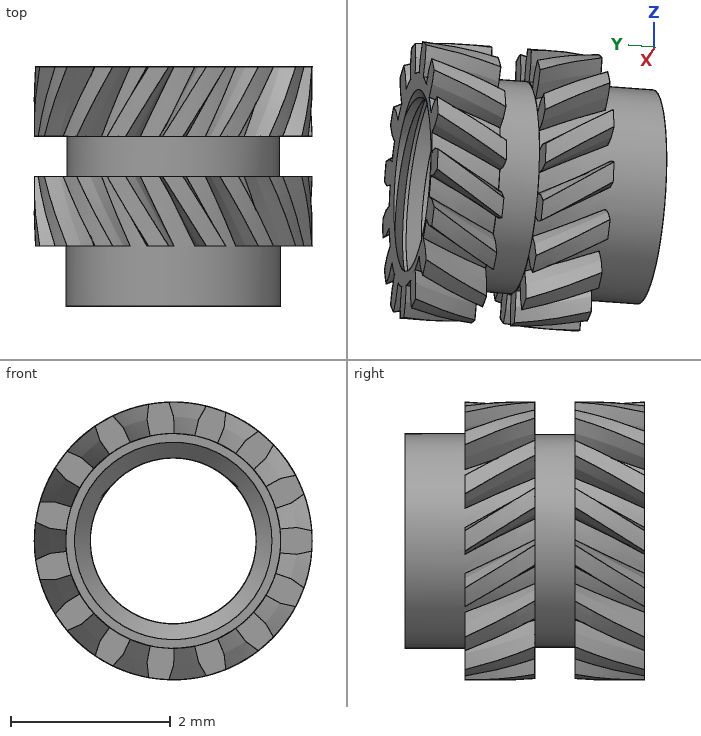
import cadquery as cq
import math


total_length = 3.0
pilot_length = 0.75
groove_width = 0.5
band_length = (total_length - pilot_length - groove_width) / 2
groove_start = pilot_length + band_length
groove_middle = groove_start + groove_width / 2

pilot_diameter = 2.69
groove_diameter = 2.665

tooth_count = 15
tooth_pitch = 360 / tooth_count
tip_radius = 1.74
tip_half_angle = 4.2
shoulder_radius = 1.552
shoulder_half_angle = 6.2
root_radius = pilot_diameter / 2
root_half_angle = 6.4
band_twist = 18.2

bore_diameter = 2.075
lead_in_diameter = 2.47
lead_in_depth = 0.22

thread_pitch = 0.45
thread_root_diameter = 2.58
thread_mouth_width = 0.75 * thread_pitch
flank_slope = math.tan(math.radians(30))
cutter_clearance = 0.035

joint_diameter = (thread_root_diameter + groove_diameter) / 2
size_tolerance = 0.0005


def polar(radius, angle):
    """Point at a radius and an angle in degrees from the X axis."""
    return (radius * math.cos(math.radians(angle)), radius * math.sin(math.radians(angle)))


def cylinder(diameter, start, end):
    return cq.Workplane("XY", origin=(0, 0, start)).circle(diameter / 2).extrude(end - start)


def knurl_band():
    """Lower band: a toothed disc whose teeth twist along its length."""
    profile = cq.Workplane("XY", origin=(0, 0, pilot_length))
    profile = profile.moveTo(*polar(root_radius, -root_half_angle))
    for index in range(tooth_count):
        middle = index * tooth_pitch
        gap_middle = middle + tooth_pitch / 2
        gap_end = middle + tooth_pitch - root_half_angle
        profile = (
            profile.lineTo(*polar(shoulder_radius, middle - shoulder_half_angle))
            .lineTo(*polar(tip_radius, middle - tip_half_angle))
            .threePointArc(polar(tip_radius, middle), polar(tip_radius, middle + tip_half_angle))
            .lineTo(*polar(shoulder_radius, middle + shoulder_half_angle))
            .lineTo(*polar(root_radius, middle + root_half_angle))
            .threePointArc(polar(root_radius, gap_middle), polar(root_radius, gap_end))
        )
    return profile.close().twistExtrude(band_length, -band_twist)


def knurled_shell():
    """Pilot, groove and two mirrored bands, hollowed out to the joint cylinder."""
    lower_band = knurl_band()
    upper_band = lower_band.mirror("XY", (0, 0, groove_middle))
    return (
        cylinder(pilot_diameter, 0, pilot_length)
        .union(lower_band, clean=False)
        .union(cylinder(groove_diameter, groove_start, groove_start + groove_width), clean=False)
        .union(upper_band, clean=False)
        .cut(cylinder(joint_diameter, 0, total_length), clean=False)
    )


def thread_groove():
    """Helical cutter, longer than the insert at both ends."""
    crest_radius = bore_diameter / 2
    groove_bottom = thread_root_diameter / 2
    bottom_half_width = thread_mouth_width / 2 - (groove_bottom - crest_radius) * flank_slope
    cutter_top = crest_radius - cutter_clearance
    top_half_width = thread_mouth_width / 2 + cutter_clearance * flank_slope
    helix_length = total_length + 2 * thread_pitch
    helix = cq.Wire.makeHelix(thread_pitch, helix_length, crest_radius)
    return (
        cq.Workplane("XZ")
        .moveTo(cutter_top, -top_half_width)
        .lineTo(groove_bottom, -bottom_half_width)
        .lineTo(groove_bottom, bottom_half_width)
        .lineTo(cutter_top, top_half_width)
        .close()
        .sweep(cq.Workplane(obj=helix), isFrenet=True)
        .rotate((0, 0, 0), (0, 0, 1), -90)
        .translate((0, 0, -thread_pitch))
    )


def lead_in_ring():
    """Unthreaded start of the sleeve, with the conical lead-in."""
    cone = cq.Solid.makeCone(lead_in_diameter / 2, bore_diameter / 2, lead_in_depth)
    return cylinder(joint_diameter, 0, lead_in_depth).cut(cq.Workplane(obj=cone))


def threaded_sleeve():
    """The thread is cut into a solid core before the bore opens its crests."""
    core = cylinder(joint_diameter, lead_in_depth, total_length)
    bore = cylinder(bore_diameter, 0, total_length + thread_pitch).rotate((0, 0, 0), (0, 0, 1), 135)
    return core.cut(thread_groove()).cut(bore).union(lead_in_ring())


def is_joint_wall(face):
    """True for the cylindrical faces bounded by circles of the joint diameter."""
    circles = [edge for edge in face.Edges() if edge.geomType() == "CIRCLE"]
    on_joint = [abs(circle.radius() - joint_diameter / 2) < size_tolerance for circle in circles]
    return face.geomType() == "CYLINDER" and bool(circles) and all(on_joint)


def join_without_wall(outer, inner):
    """One solid from two that share the joint cylinder, leaving that wall out."""
    faces = outer.faces().vals() + inner.faces().vals()
    skin = [face for face in faces if not is_joint_wall(face)]
    return cq.Workplane(obj=cq.Solid.makeSolid(cq.Shell.makeShell(skin))).clean()


insert = join_without_wall(knurled_shell(), threaded_sleeve())

result = insert.rotate((0, 0, 0), (1, 0, 0), -90)